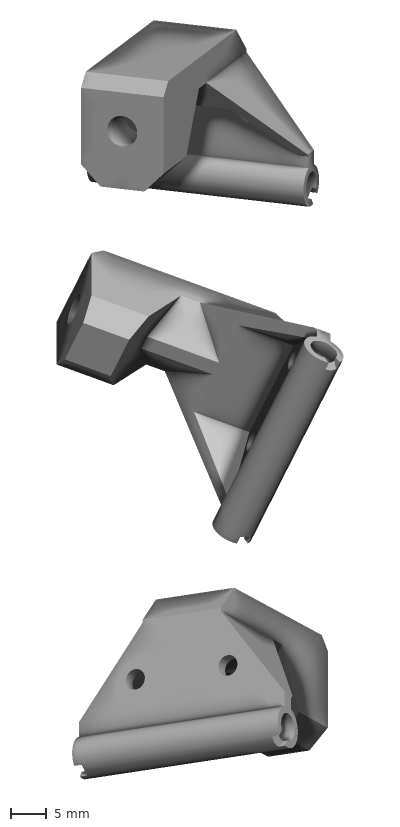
import cadquery as cq
import math


width = 32.5
barrel_diameter = 6.0
barrel_radius = barrel_diameter / 2
bore_diameter = 4.0
bore_depth = 2.0

key_width = 2.0
key_angle = 34.0
key_depth = 0.7
key_floor_slope = 30.0

total_length = 34.0
total_height = 25.5
front_y = barrel_radius - total_length
top_z = total_height - barrel_radius

plate_thickness = 2.0
plate_back = plate_thickness / 2
plate_front = -plate_back
screw_hole_diameter = 3.0
screw_hole_x = 7.3
screw_hole_z = 9.95

arm_width = 12.38
arm_half = arm_width / 2
arm_thickness = 4.45
arm_bottom = top_z - arm_thickness
rear_chamfer = 4.0
front_chamfer = 1.85
leg_bottom = 6.55
leg_foot_depth = 7.0
leg_slope = 60.0
leg_chamfer = 2.92
leg_hole_diameter = 4.5
leg_hole_z = 15.0
leg_hole_depth = 7.0

gusset_low_z = 4.93
gusset_reach = 15.55
gusset_tip_y = plate_back - gusset_reach
gusset_root_z = arm_bottom - (plate_front - gusset_tip_y)
pocket_top_z = 12.92
pocket_top_half = 7.8
pocket_bottom_half = 14.7


def extrude_x(points, length):
    """Prism from (y, z) points, centred on the YZ plane."""
    return cq.Workplane("YZ").polyline(points).close().extrude(length / 2, both=True)


def extrude_y(points, start, end):
    """Prism from (x, z) points, between two Y positions."""
    plane = cq.Workplane("XZ", origin=(0, end, 0))
    return plane.polyline(points).close().extrude(end - start)


def hole_y(x, z, diameter, start, end):
    """Cylinder along Y, between two Y positions."""
    return cq.Workplane("XZ", origin=(x, end, z)).circle(diameter / 2).extrude(end - start)


def make_arm():
    """Chamfered arm with its front leg."""
    foot_back = front_y + leg_foot_depth
    leg_root = foot_back + (arm_bottom - leg_bottom) / math.tan(math.radians(leg_slope))
    arm = extrude_x(
        [
            (plate_back, arm_bottom),
            (plate_back, top_z - rear_chamfer),
            (plate_back - rear_chamfer, top_z),
            (front_y + front_chamfer, top_z),
            (front_y, top_z - front_chamfer),
            (front_y, leg_bottom),
            (foot_back, leg_bottom),
            (leg_root, arm_bottom),
        ],
        arm_width,
    )
    foot_half = arm_half - leg_chamfer
    leg_outline = extrude_y(
        [
            (-arm_half, top_z),
            (-arm_half, leg_bottom + leg_chamfer),
            (-foot_half, leg_bottom),
            (foot_half, leg_bottom),
            (arm_half, leg_bottom + leg_chamfer),
            (arm_half, top_z),
        ],
        front_y,
        plate_back,
    )
    return arm.intersect(leg_outline)


def make_gusset():
    """Plate and sloping gusset, hollowed by a pocket that leaves the plate."""
    web = extrude_x(
        [
            (plate_back, 0),
            (plate_back, arm_bottom),
            (gusset_tip_y, arm_bottom),
            (plate_front, gusset_root_z),
            (plate_front, 0),
        ],
        width,
    )
    outline = extrude_y(
        [
            (-width / 2, 0),
            (-width / 2, gusset_low_z),
            (-arm_half, arm_bottom),
            (arm_half, arm_bottom),
            (width / 2, gusset_low_z),
            (width / 2, 0),
        ],
        gusset_tip_y,
        plate_back,
    )
    pocket = extrude_y(
        [
            (-pocket_bottom_half, gusset_root_z),
            (-pocket_top_half, pocket_top_z),
            (pocket_top_half, pocket_top_z),
            (pocket_bottom_half, gusset_root_z),
        ],
        gusset_tip_y,
        plate_front,
    )
    return web.intersect(outline).cut(pocket)


def make_rib():
    """Rib under the arm with 45 degree sides, joining the gusset to the leg."""
    rib_bottom_half = arm_half - (arm_bottom - pocket_top_z)
    rib_back = gusset_tip_y + (arm_bottom - pocket_top_z)
    return extrude_y(
        [
            (-arm_half, arm_bottom),
            (-rib_bottom_half, pocket_top_z),
            (rib_bottom_half, pocket_top_z),
            (arm_half, arm_bottom),
        ],
        front_y + leg_foot_depth,
        rib_back,
    )


def make_bore_cut():
    """Blind bore and keyway at the -X end of the barrel."""
    end_plane = cq.Workplane("YZ", origin=(-width / 2, 0, 0))
    bore = end_plane.circle(bore_diameter / 2).extrude(bore_depth)
    floor_rise = barrel_radius * math.tan(math.radians(key_floor_slope))
    bore_rise = bore_diameter / 2 * math.tan(math.radians(key_floor_slope))
    key = (
        cq.Workplane("XZ")
        .polyline(
            [
                (-width / 2, 0),
                (-width / 2 + key_depth - bore_rise, 0),
                (-width / 2 + key_depth - bore_rise + floor_rise, -barrel_radius),
                (-width / 2, -barrel_radius),
            ]
        )
        .close()
        .extrude(key_width / 2, both=True)
        .rotate((0, 0, 0), (1, 0, 0), key_angle)
    )
    return bore.union(key)


barrel = cq.Workplane("YZ").circle(barrel_radius).extrude(width / 2, both=True)
result = make_gusset().union(make_arm()).union(make_rib()).union(barrel)

bore_cut = make_bore_cut()
result = result.cut(bore_cut).cut(bore_cut.mirror("YZ"))

for side in (-1, 1):
    result = result.cut(
        hole_y(side * screw_hole_x, screw_hole_z, screw_hole_diameter, plate_front, plate_back)
    )
result = result.cut(hole_y(0, leg_hole_z, leg_hole_diameter, front_y, front_y + leg_hole_depth))